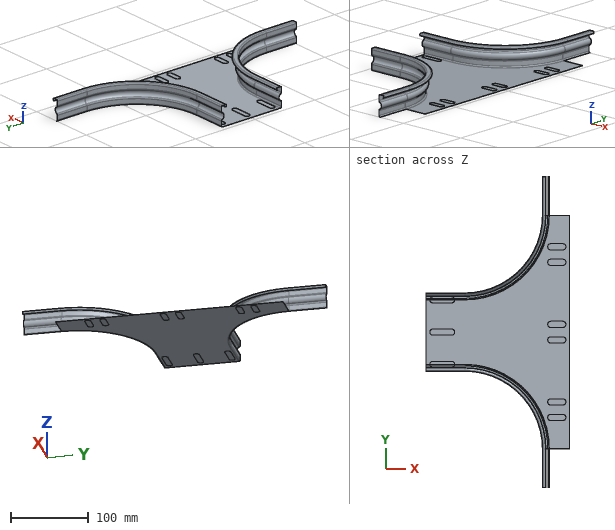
import cadquery as cq
import math


sheet = 0.5
tray_width = 100.0
rail_height = 30.6
bend_radius = 100.0
arm_length = 50.0
plate_margin = 35.0

edge_radius = 2.0
lip_width = 9.0
bead_height = 15.5
bead_half_height = 6.7
bead_radius = 5.0
bead_fillet = 2.0

pad_rise = 0.5
pad_width = 8.0
branch_pad_length = 32.0
branch_pad_x = 21.0
branch_pad_pitch = 41.6
run_pad_length = 23.5
run_pad_inset = 16.4
run_pad_spacing = 20.0
run_pair_pitch = 100.0

wall_y = tray_width / 2 + sheet
wall_x = arm_length + bend_radius
bend_y = wall_y + bend_radius
plate_end_x = wall_x + plate_margin
pad_sink = sheet / 2
join_tolerance = 1e-6


def arc_point(center, radius, degrees):
    angle = math.radians(degrees)
    return (center[0] + radius * math.cos(angle), center[1] + radius * math.sin(angle))


def rail_arcs(depth):
    """Arcs of the rail section from foot to lip, at a depth below the outer skin.

    Each arc is (center, radius, start angle, end angle) in (inward, up) coordinates;
    straight stretches join one arc to the next.
    """
    fold = edge_radius - depth
    blend = bead_fillet + sheet - depth
    bead = bead_radius + depth
    tilt = math.degrees(math.asin(bead_half_height / (bead + blend)))
    blend_u = bead_fillet + sheet
    bead_u = blend_u - (bead + blend) * math.cos(math.radians(tilt))
    top_z = rail_height - edge_radius
    return [
        ((edge_radius, edge_radius), fold, 270, 180),
        ((blend_u, bead_height - bead_half_height), blend, 180, 180 - tilt),
        ((bead_u, bead_height), bead, -tilt, tilt),
        ((blend_u, bead_height + bead_half_height), blend, 180 + tilt, 180),
        ((edge_radius, top_z), fold, 180, 90),
        ((lip_width - edge_radius, top_z), fold, 90, -90),
    ]


def rail_section(plane):
    """Closed sheet section, up the outer skin and back down the inner skin."""
    inner = [(center, radius, end, start) for center, radius, start, end in reversed(rail_arcs(sheet))]
    arcs = rail_arcs(0) + inner
    center, radius, start, _ = arcs[0]
    here = arc_point(center, radius, start)
    section = cq.Workplane(plane).moveTo(*here)
    for center, radius, start, end in arcs:
        first = arc_point(center, radius, start)
        if math.dist(here, first) > join_tolerance:
            section = section.lineTo(*first)
        here = arc_point(center, radius, end)
        section = section.threePointArc(arc_point(center, radius, (start + end) / 2), here)
    return section.close()


def make_rail():
    """Rail on the +Y side: branch arm, quarter bend and through-run arm."""
    branch_plane = cq.Plane(origin=(arm_length, wall_y, 0), xDir=(0, -1, 0), normal=(-1, 0, 0))
    run_plane = cq.Plane(origin=(wall_x, bend_y, 0), xDir=(1, 0, 0), normal=(0, -1, 0))
    branch_arm = rail_section(branch_plane).extrude(arm_length)
    run_arm = rail_section(run_plane).extrude(-arm_length)
    bend = rail_section(run_plane).revolve(90, (-bend_radius, 0), (-bend_radius, -1))
    return branch_arm.union(bend).union(run_arm)


def make_plate():
    """Flat plate, bounded by the start of the foot folds of both rails."""
    foot_radius = bend_radius + edge_radius
    foot_y = wall_y - edge_radius
    foot_x = wall_x + edge_radius
    upper_mid = arc_point((arm_length, bend_y), foot_radius, -45)
    lower_mid = (upper_mid[0], -upper_mid[1])
    return (
        cq.Workplane("XY")
        .moveTo(0, -foot_y)
        .lineTo(arm_length, -foot_y)
        .threePointArc(lower_mid, (foot_x, -bend_y))
        .lineTo(plate_end_x, -bend_y)
        .lineTo(plate_end_x, bend_y)
        .lineTo(foot_x, bend_y)
        .threePointArc(upper_mid, (arm_length, foot_y))
        .lineTo(0, foot_y)
        .close()
        .extrude(sheet)
    )


def make_pads(length, places):
    """Oblong pads along X, sunk a little into the plate so that they join it."""
    return (
        cq.Workplane("XY", origin=(0, 0, sheet - pad_sink))
        .pushPoints(places)
        .slot2D(length, pad_width)
        .extrude(pad_rise + pad_sink)
    )


steps = (-1, 0, 1)
branch_places = [(branch_pad_x, step * branch_pad_pitch) for step in steps]
run_pad_x = plate_end_x - run_pad_inset
run_places = []
for step in steps:
    pair_y = step * run_pair_pitch
    run_places.append((run_pad_x, pair_y - run_pad_spacing / 2))
    run_places.append((run_pad_x, pair_y + run_pad_spacing / 2))

rail = make_rail()
result = make_plate().union(rail).union(rail.mirror("XZ"))
result = result.union(make_pads(branch_pad_length, branch_places))
result = result.union(make_pads(run_pad_length, run_places))